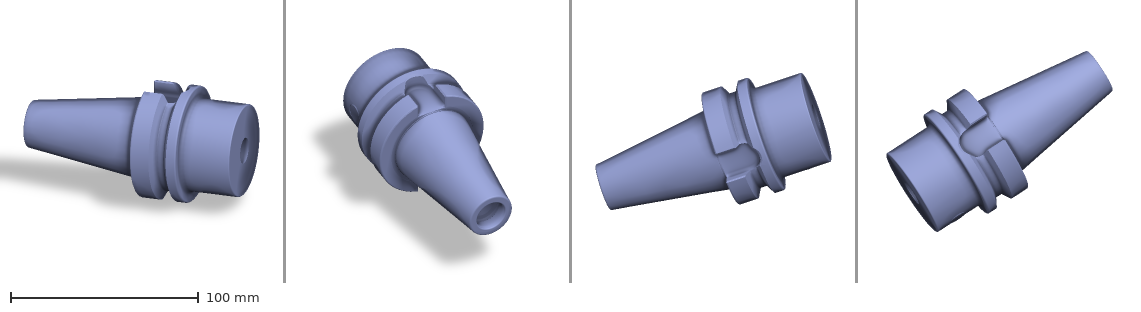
import cadquery as cq
import math

TAPER_RATIO = 7 / 24
GAUGE_X = 65.4
GAUGE_RADIUS = 22.3
SHANK_END_RADIUS = GAUGE_RADIUS - GAUGE_X * TAPER_RATIO / 2
SHANK_END_ROUND = 1.0

NECK_GROOVE_X = 65.7
NECK_GROOVE_WIDTH = 0.4
NECK_GROOVE_DEPTH = 0.4

FLANGE_X = 66.5
FLANGE_BACK_X = 92.3
FLANGE_DIAMETER = 63.0
FLANGE_RADIUS = FLANGE_DIAMETER / 2
FLANGE_ROUND = 0.8
FACE_RECESS_RADIUS = 24.6
FACE_RECESS_DEPTH = 0.2

GROOVE_START_X = 77.2
GROOVE_END_X = 86.9
GROOVE_ROOT_RADIUS = 26.5
GROOVE_FLANK_ANGLE = 30
GROOVE_ROOT_FILLET = 0.6

NOSE_END_X = 120.4
NOSE_DIAMETER = 50.0
NOSE_RADIUS = NOSE_DIAMETER / 2
NOSE_ROUND = 0.6
NOSE_FILLET = 2.0

PILOT_BORE_RADIUS = 8.5
PILOT_MOUTH_ROUND = 0.7
RELIEF_START_X = 6.7
RELIEF_END_X = 8.8
RELIEF_DEPTH = 0.5
BORE_CONE_START_X = 9.2
BORE_RADIUS = 7.0
BORE_CONE_ANGLE = 60

SLOT_HALF_WIDTH = 8.1
SLOT_CENTRE_X = 80.3
SLOT_FLOOR = 22.5
SLOT_FLOOR_FILLET = 1.7
SLOT_EDGE_CHAMFER = 0.7
SLOT_END_CHAMFER_START = 30.3

SCREW_X = 107.4
SCREW_RADIUS = 5.7
SCREW_LENGTH = 7.2
SCREW_CHAMFER = 0.5
SCREW_SINK = 0.18

OVERCUT = 1.2
OVERLAP = 2.4

groove_flank_run = (FLANGE_RADIUS - GROOVE_ROOT_RADIUS) * math.tan(math.radians(GROOVE_FLANK_ANGLE))
bore_cone_length = (PILOT_BORE_RADIUS - BORE_RADIUS) / math.tan(math.radians(BORE_CONE_ANGLE))


def revolve(profile):
    """Close a half profile drawn in XY and turn it about the X axis."""
    return profile.close().revolve(360, (0, 0, 0), (1, 0, 0))


def make_turned_blank():
    groove_radius = GAUGE_RADIUS - NECK_GROOVE_DEPTH
    groove_end_x = NECK_GROOVE_X + NECK_GROOVE_WIDTH
    shank = revolve(
        cq.Workplane("XY")
        .lineTo(0, SHANK_END_RADIUS)
        .lineTo(GAUGE_X, GAUGE_RADIUS)
        .lineTo(NECK_GROOVE_X, GAUGE_RADIUS)
        .lineTo(NECK_GROOVE_X, groove_radius)
        .lineTo(groove_end_x, groove_radius)
        .lineTo(groove_end_x, GAUGE_RADIUS)
        .lineTo(FLANGE_X + OVERLAP, GAUGE_RADIUS)
        .lineTo(FLANGE_X + OVERLAP, 0)
    ).faces("<X").edges().fillet(SHANK_END_ROUND)
    flange = (
        cq.Workplane("YZ", origin=(FLANGE_X, 0, 0))
        .circle(FLANGE_RADIUS)
        .extrude(FLANGE_BACK_X - FLANGE_X)
        .edges()
        .fillet(FLANGE_ROUND)
    )
    recess = (
        cq.Workplane("YZ", origin=(FLANGE_X, 0, 0))
        .circle(FACE_RECESS_RADIUS)
        .extrude(FACE_RECESS_DEPTH)
    )
    nose = revolve(
        cq.Workplane("XY")
        .moveTo(FLANGE_BACK_X - OVERLAP, 0)
        .lineTo(FLANGE_BACK_X - OVERLAP, NOSE_RADIUS + NOSE_FILLET)
        .lineTo(FLANGE_BACK_X, NOSE_RADIUS + NOSE_FILLET)
        .radiusArc((FLANGE_BACK_X + NOSE_FILLET, NOSE_RADIUS), -NOSE_FILLET)
        .lineTo(NOSE_END_X - NOSE_ROUND, NOSE_RADIUS)
        .radiusArc((NOSE_END_X, NOSE_RADIUS - NOSE_ROUND), NOSE_ROUND)
        .lineTo(NOSE_END_X, 0)
    )
    return flange.cut(recess).union(shank).union(nose)


def make_groove_cutter():
    groove = revolve(
        cq.Workplane("XY")
        .moveTo(GROOVE_START_X, FLANGE_RADIUS)
        .lineTo(GROOVE_START_X + groove_flank_run, GROOVE_ROOT_RADIUS)
        .lineTo(GROOVE_END_X - groove_flank_run, GROOVE_ROOT_RADIUS)
        .lineTo(GROOVE_END_X, FLANGE_RADIUS)
        .lineTo(GROOVE_END_X, FLANGE_RADIUS + OVERCUT)
        .lineTo(GROOVE_START_X, FLANGE_RADIUS + OVERCUT)
    )
    root = cq.selectors.RadiusNthSelector(0)
    return groove.edges(root).fillet(GROOVE_ROOT_FILLET)


def make_bore_cutter():
    relief_radius = PILOT_BORE_RADIUS + RELIEF_DEPTH
    return revolve(
        cq.Workplane("XY")
        .lineTo(0, PILOT_BORE_RADIUS + PILOT_MOUTH_ROUND)
        .radiusArc((PILOT_MOUTH_ROUND, PILOT_BORE_RADIUS), -PILOT_MOUTH_ROUND)
        .lineTo(RELIEF_START_X, PILOT_BORE_RADIUS)
        .lineTo(RELIEF_START_X + RELIEF_DEPTH, relief_radius)
        .lineTo(RELIEF_END_X - RELIEF_DEPTH, relief_radius)
        .lineTo(RELIEF_END_X, PILOT_BORE_RADIUS)
        .lineTo(BORE_CONE_START_X, PILOT_BORE_RADIUS)
        .lineTo(BORE_CONE_START_X + bore_cone_length, BORE_RADIUS)
        .lineTo(NOSE_END_X, BORE_RADIUS)
        .lineTo(NOSE_END_X, 0)
    )


def make_slot_cutter():
    top = FLANGE_RADIUS + OVERCUT
    outer_half_width = SLOT_HALF_WIDTH + SLOT_EDGE_CHAMFER
    start_x = FLANGE_X - OVERCUT
    slot = (
        cq.Workplane("XY", origin=(0, 0, SLOT_FLOOR))
        .moveTo(start_x, -SLOT_HALF_WIDTH)
        .lineTo(SLOT_CENTRE_X, -SLOT_HALF_WIDTH)
        .threePointArc((SLOT_CENTRE_X + SLOT_HALF_WIDTH, 0), (SLOT_CENTRE_X, SLOT_HALF_WIDTH))
        .lineTo(start_x, SLOT_HALF_WIDTH)
        .close()
        .extrude(top - SLOT_FLOOR)
        .faces("<Z")
        .edges("not(<X)")
        .fillet(SLOT_FLOOR_FILLET)
    )
    edge_z = math.sqrt(FLANGE_RADIUS**2 - outer_half_width**2)
    rise = top - edge_z
    flare = (
        cq.Workplane("YZ", origin=(start_x, 0, 0))
        .moveTo(-SLOT_HALF_WIDTH, edge_z - SLOT_EDGE_CHAMFER)
        .lineTo(SLOT_HALF_WIDTH, edge_z - SLOT_EDGE_CHAMFER)
        .lineTo(outer_half_width + rise, top)
        .lineTo(-outer_half_width - rise, top)
        .close()
        .extrude(SLOT_CENTRE_X - start_x)
    )
    entry = (
        cq.Workplane("XY", origin=(0, 0, SLOT_FLOOR))
        .moveTo(FLANGE_X, -outer_half_width)
        .lineTo(FLANGE_X + SLOT_EDGE_CHAMFER, -SLOT_HALF_WIDTH)
        .lineTo(FLANGE_X + SLOT_EDGE_CHAMFER, SLOT_HALF_WIDTH)
        .lineTo(FLANGE_X, outer_half_width)
        .close()
        .extrude(top - SLOT_FLOOR)
    )
    cone_height = top - SLOT_END_CHAMFER_START
    cone = cq.Workplane("XY").add(
        cq.Solid.makeCone(
            SLOT_HALF_WIDTH,
            SLOT_HALF_WIDTH + cone_height,
            cone_height,
            cq.Vector(SLOT_CENTRE_X, 0, SLOT_END_CHAMFER_START),
            cq.Vector(0, 0, 1),
            180,
        ).rotate(cq.Vector(SLOT_CENTRE_X, 0, 0), cq.Vector(SLOT_CENTRE_X, 0, 1.2), -90)
    )
    return slot.union(flare).union(entry).union(cone)


def make_screw_cylinder(top_y):
    """Cylinder along Y from the bottom of the screw hole up to top_y."""
    bottom_y = NOSE_RADIUS - SCREW_SINK - SCREW_LENGTH
    return (
        cq.Workplane("XZ", origin=(SCREW_X, top_y, 0))
        .circle(SCREW_RADIUS)
        .extrude(top_y - bottom_y)
    )


def make_holder():
    holder = make_turned_blank().cut(make_groove_cutter()).cut(make_bore_cutter())
    slot_cutter = make_slot_cutter()
    for turn in (0, 180):
        holder = holder.cut(slot_cutter.rotate((0, 0, 0), (1, 0, 0), turn))
    return holder.cut(make_screw_cylinder(NOSE_RADIUS + OVERCUT))


def make_clamping_screw():
    head_y = NOSE_RADIUS - SCREW_SINK
    return make_screw_cylinder(head_y).faces(">Y").edges().chamfer(SCREW_CHAMFER)


holder = make_holder()
clamping_screw = make_clamping_screw()

result = cq.Compound.makeCompound([holder.val(), clamping_screw.val()])